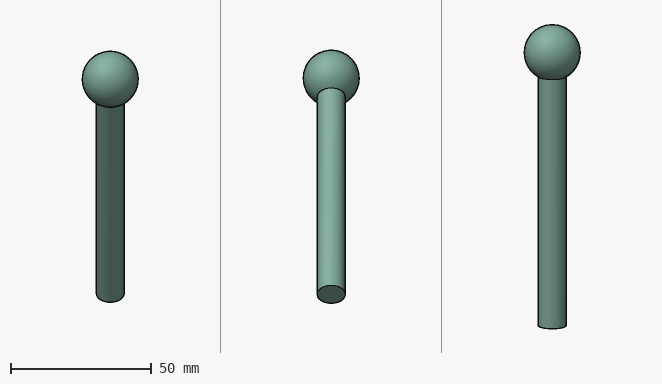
import cadquery as cq

total_length = 110.0
ball_diameter = 20.0
rod_diameter = ball_diameter / 2

ball_center_height = total_length - ball_diameter / 2

rod = cq.Workplane("XY").circle(rod_diameter / 2).extrude(ball_center_height)

ball = cq.Workplane("XY").sphere(ball_diameter / 2).translate((0, 0, ball_center_height))

result = rod.union(ball)